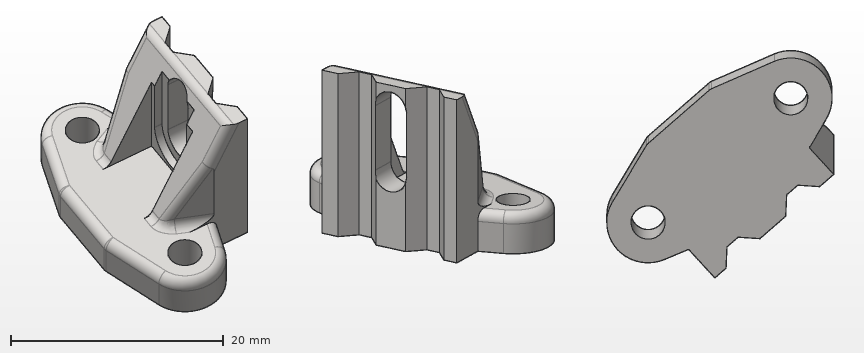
import cadquery as cq
import math

LENGTH = 25.77
HOLE_DIAMETER = 3.2
END_RADIUS = 3.9
BASE_HEIGHT = 4.02
BASE_FRONT_Y = -5.7
FRONT_FLAT_LEFT = -4.02
FRONT_FLAT_RIGHT = 3.95
FRONT_CORNER_RADIUS = 0.9
SIDE_ANGLE = math.radians(18.5)
BASE_OVERLAP = 1.3
ROUND_RADIUS = 1.0
PICK_MARGIN = 0.13

TOP_Z = 16.36
BACK_Y = 8.17
UPRIGHT_LEFT = -7.89
UPRIGHT_RIGHT = 7.1
GUSSET_BACK_Y = 4.45
GUSSET_LEFT_ANGLE = math.radians(25.3)
GUSSET_RIGHT_ANGLE = math.radians(22.1)
SLOPE_TOP_Y = 6.08
SLOPE_RUN_PER_HEIGHT = 0.52

POCKET_LEFT = -3.85
POCKET_RIGHT = 3.38
POCKET_BACK_Y = 4.43
SLOT_X = -0.5
SLOT_WIDTH = 3.53
SLOT_BOTTOM_Z = 5.67
SLOT_TOP_Z = 15.67
RECESS_WIDTH = 5.62
RECESS_BOTTOM_Z = 4.43
RECESS_BACK_Y = 5.25
GROOVE_CENTERS = (-4.33, 3.2)
GROOVE_OPENING = 4.25
GROOVE_FLOOR = 1.4
GROOVE_DEPTH = 1.47

HOLE_X = LENGTH / 2 - END_RADIUS
TANGENT_X = HOLE_X + END_RADIUS * math.sin(SIDE_ANGLE)
TANGENT_Y = END_RADIUS * math.cos(SIDE_ANGLE)
SLOPE_BASE_Y = SLOPE_TOP_Y - SLOPE_RUN_PER_HEIGHT * TOP_Z


def make_base():
    """Plate with round ends, a three-sided front and a back running into the upright."""
    back_left_x = UPRIGHT_LEFT + BASE_OVERLAP
    back_right_x = UPRIGHT_RIGHT - BASE_OVERLAP
    back_left_y = TANGENT_Y + (TANGENT_X + back_left_x) * math.tan(SIDE_ANGLE)
    back_right_y = TANGENT_Y + (TANGENT_X - back_right_x) * math.tan(SIDE_ANGLE)
    plate = (
        cq.Workplane("XY")
        .moveTo(FRONT_FLAT_LEFT, BASE_FRONT_Y)
        .lineTo(FRONT_FLAT_RIGHT, BASE_FRONT_Y)
        .lineTo(TANGENT_X, -TANGENT_Y)
        .threePointArc((LENGTH / 2, 0), (TANGENT_X, TANGENT_Y))
        .lineTo(back_right_x, back_right_y)
        .lineTo(back_left_x, back_left_y)
        .lineTo(-TANGENT_X, TANGENT_Y)
        .threePointArc((-LENGTH / 2, 0), (-TANGENT_X, -TANGENT_Y))
        .close()
        .extrude(BASE_HEIGHT)
    )
    front_corners = cq.selectors.BoxSelector(
        (-HOLE_X / 2, BASE_FRONT_Y - PICK_MARGIN, 0),
        (HOLE_X / 2, BASE_FRONT_Y + PICK_MARGIN, BASE_HEIGHT),
    )
    return plate.edges("|Z").edges(front_corners).fillet(FRONT_CORNER_RADIUS)


def make_upright():
    """Tapered plan cut by the sloping face, with its front edges rounded."""
    depth = GUSSET_BACK_Y - SLOPE_BASE_Y
    plan = (
        cq.Workplane("XY")
        .polyline([
            (UPRIGHT_LEFT, BACK_Y),
            (UPRIGHT_LEFT, GUSSET_BACK_Y),
            (UPRIGHT_LEFT + depth * math.tan(GUSSET_LEFT_ANGLE), SLOPE_BASE_Y),
            (UPRIGHT_RIGHT - depth * math.tan(GUSSET_RIGHT_ANGLE), SLOPE_BASE_Y),
            (UPRIGHT_RIGHT, GUSSET_BACK_Y),
            (UPRIGHT_RIGHT, BACK_Y),
        ])
        .close()
        .extrude(TOP_Z)
    )
    wedge = (
        cq.Workplane("YZ")
        .polyline([(BACK_Y, 0), (SLOPE_BASE_Y, 0), (SLOPE_TOP_Y, TOP_Z), (BACK_Y, TOP_Z)])
        .close()
        .extrude(LENGTH, both=True)
    )
    slope_normal = cq.Vector(0, -1, SLOPE_RUN_PER_HEIGHT)
    slope_face = cq.selectors.DirectionNthSelector(slope_normal, -1)
    return plan.intersect(wedge).faces(slope_face).edges("not <Z").fillet(ROUND_RADIUS)


def blend_root(body):
    """Fillet the gussets into the top of the base."""
    root = cq.selectors.BoxSelector(
        (UPRIGHT_LEFT, SLOPE_BASE_Y - PICK_MARGIN, BASE_HEIGHT - PICK_MARGIN),
        (UPRIGHT_RIGHT, GUSSET_BACK_Y, BASE_HEIGHT + PICK_MARGIN),
    )
    return body.edges(root).fillet(ROUND_RADIUS)


def round_rim(body):
    """Round the top rim of the base, starting from its front edge."""
    front_rim = cq.selectors.BoxSelector(
        (-LENGTH, BASE_FRONT_Y - PICK_MARGIN, BASE_HEIGHT - PICK_MARGIN),
        (LENGTH, BASE_FRONT_Y + PICK_MARGIN, BASE_HEIGHT + PICK_MARGIN),
    )
    return body.edges(front_rim).fillet(ROUND_RADIUS)


def slot_cutter(width, bottom, top, front_y, back_y):
    """Upright round-ended slot running along Y."""
    return (
        cq.Workplane("XZ", origin=(SLOT_X, back_y, (bottom + top) / 2))
        .slot2D(top - bottom, width, 90)
        .extrude(back_y - front_y)
    )


def groove_cutter(center):
    """Full-height trapezoidal groove in the rear face."""
    floor_y = BACK_Y - GROOVE_DEPTH
    return (
        cq.Workplane("XY")
        .polyline([
            (center - GROOVE_OPENING / 2, BACK_Y),
            (center - GROOVE_FLOOR / 2, floor_y),
            (center + GROOVE_FLOOR / 2, floor_y),
            (center + GROOVE_OPENING / 2, BACK_Y),
        ])
        .close()
        .extrude(TOP_Z)
    )


result = round_rim(blend_root(make_base().union(make_upright())))

pocket_depth = POCKET_BACK_Y - BASE_FRONT_Y
pocket = cq.Workplane("XY").box(
    POCKET_RIGHT - POCKET_LEFT, pocket_depth, TOP_Z, centered=False
).translate((POCKET_LEFT, BASE_FRONT_Y, BASE_HEIGHT))
result = result.cut(pocket)

recess_top = TOP_Z + RECESS_WIDTH
result = result.cut(slot_cutter(RECESS_WIDTH, RECESS_BOTTOM_Z, recess_top, BASE_FRONT_Y, RECESS_BACK_Y))
result = result.cut(slot_cutter(SLOT_WIDTH, SLOT_BOTTOM_Z, SLOT_TOP_Z, BASE_FRONT_Y, BACK_Y))

for groove_center in GROOVE_CENTERS:
    result = result.cut(groove_cutter(groove_center))

for hole_x in (-HOLE_X, HOLE_X):
    hole = cq.Workplane("XY").center(hole_x, 0).circle(HOLE_DIAMETER / 2).extrude(BASE_HEIGHT)
    result = result.cut(hole)